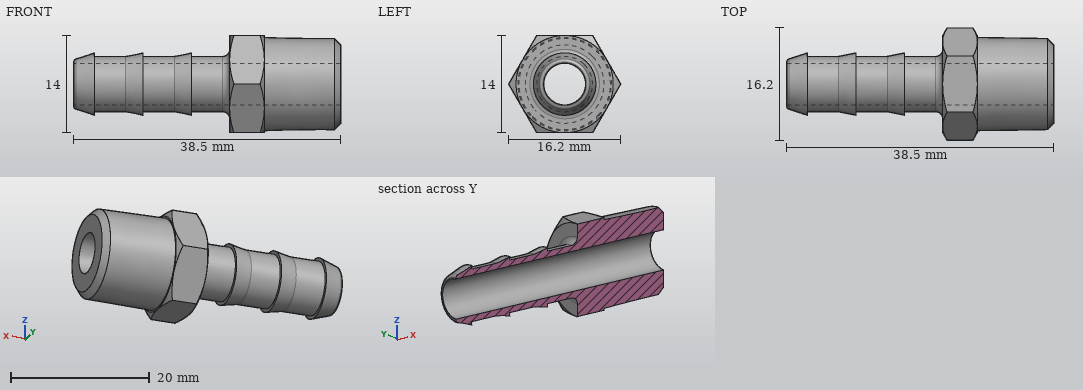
import cadquery as cq
import math

length = 38.5
bore_radius = 3.0

hose_radius = 4.0
barb_radius = 4.5
barb_length = 2.5
barb_pitch = 7.0
first_barb_end = 3.0
barb_count = 3
first_barb_angle = 18.0
lip_round = 0.5
root_fillet = 1.0

hex_start = 22.5
hex_width = 5.0
hex_end = hex_start + hex_width
across_flats = 14.0
across_corners = across_flats / math.cos(math.radians(30))
hex_chamfer_angle = 30.0

connection_base_radius = 6.75
connection_end_radius = 6.6
connection_chamfer = 0.92


def make_hose_tail():
    """Revolve the barbed tail and its concave fillet into the hexagon."""
    slope = math.radians(first_barb_angle)
    lip_end_x = lip_round * (1 - math.sin(slope))
    lip_end_radius = barb_radius - (first_barb_end - lip_end_x) * math.tan(slope)
    lip_centre_radius = lip_end_radius - lip_round * math.cos(slope)
    middle_angle = (math.pi / 2 + slope) / 2
    lip_middle = (
        lip_round * (1 - math.sin(middle_angle)),
        lip_centre_radius + lip_round * math.cos(middle_angle),
    )
    profile = (
        cq.Workplane("XY")
        .lineTo(0, lip_centre_radius)
        .threePointArc(lip_middle, (lip_end_x, lip_end_radius))
        .lineTo(first_barb_end, barb_radius)
        .lineTo(first_barb_end, hose_radius)
    )
    for index in range(1, barb_count):
        barb_end = first_barb_end + index * barb_pitch
        profile = (
            profile.lineTo(barb_end - barb_length, hose_radius)
            .lineTo(barb_end, barb_radius)
            .lineTo(barb_end, hose_radius)
        )
    fillet_start = hex_start - root_fillet
    fillet_middle = (
        fillet_start + root_fillet * math.sqrt(0.5),
        hose_radius + root_fillet * (1 - math.sqrt(0.5)),
    )
    profile = (
        profile.lineTo(fillet_start, hose_radius)
        .threePointArc(fillet_middle, (hex_start, hose_radius + root_fillet))
        .lineTo(hex_start, 0)
        .close()
    )
    return profile.revolve(360, (0, 0, 0), (1, 0, 0))


def make_hexagon():
    """Hexagon with corners on Y, its corners chamfered conically at both ends."""
    prism = (
        cq.Workplane("YZ", origin=(hex_start, 0, 0))
        .polygon(6, across_corners)
        .extrude(hex_width)
    )
    face_radius = across_flats / 2
    corner_radius = across_corners / 2
    chamfer_depth = (corner_radius - face_radius) * math.tan(math.radians(hex_chamfer_angle))
    chamfer_envelope = (
        cq.Workplane("XY")
        .moveTo(hex_start, 0)
        .lineTo(hex_start, face_radius)
        .lineTo(hex_start + chamfer_depth, corner_radius)
        .lineTo(hex_end - chamfer_depth, corner_radius)
        .lineTo(hex_end, face_radius)
        .lineTo(hex_end, 0)
        .close()
        .revolve(360, (0, 0, 0), (1, 0, 0))
    )
    return prism.intersect(chamfer_envelope)


def make_connection():
    """Slightly tapered end with a chamfered mouth."""
    return (
        cq.Workplane("XY")
        .moveTo(hex_end, 0)
        .lineTo(hex_end, connection_base_radius)
        .lineTo(length - connection_chamfer, connection_end_radius)
        .lineTo(length, connection_end_radius - connection_chamfer)
        .lineTo(length, 0)
        .close()
        .revolve(360, (0, 0, 0), (1, 0, 0))
    )


bore = cq.Workplane("YZ").circle(bore_radius).extrude(length)
result = make_hose_tail().union(make_hexagon()).union(make_connection()).cut(bore)